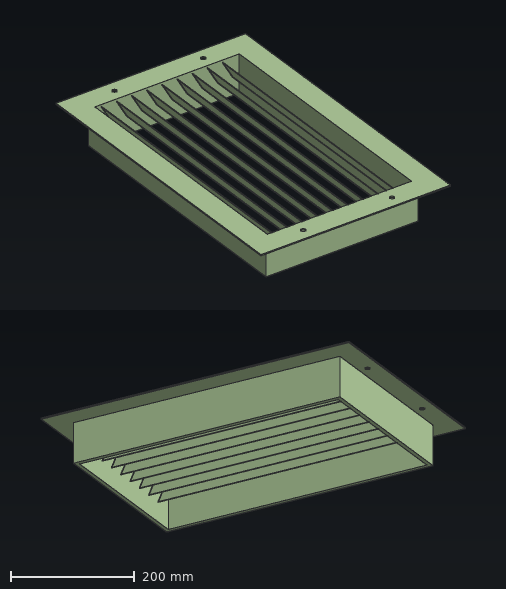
import cadquery as cq

flange_length = 575.0
flange_width = 375.0
flange_thickness = 2.5

total_height = 75.0
collar_length = 498.0
collar_width = 300.0
wall_thickness = 7.5
opening_length = collar_length - 2 * wall_thickness
opening_width = collar_width - 2 * wall_thickness

hole_diameter = 8.5
hole_spacing_x = 529.0
hole_spacing_y = 175.5

blade_count = 9
blade_pitch = 30.0
blade_width = 40.0
blade_thickness = 1.0
blade_tilt = 60.0
blade_center_height = 53.0
blade_end_embed = 1.0


def make_frame():
    """Flange and collar around one rectangular opening; the base is at Z = 0."""
    collar = cq.Workplane("XY").rect(collar_length, collar_width).extrude(total_height)
    flange = (
        cq.Workplane("XY")
        .workplane(offset=total_height - flange_thickness)
        .rect(flange_length, flange_width)
        .extrude(flange_thickness)
    )
    opening = cq.Workplane("XY").rect(opening_length, opening_width).extrude(total_height)
    return collar.union(flange).cut(opening)


def make_mounting_holes():
    """Four round cutters through the end strips of the flange."""
    return (
        cq.Workplane("XY")
        .rect(hole_spacing_x, hole_spacing_y, forConstruction=True)
        .vertices()
        .circle(hole_diameter / 2)
        .extrude(total_height)
    )


def make_blade(center_y):
    """One flat tilted blade, its ends sunk slightly into the collar walls."""
    return (
        cq.Workplane("XY")
        .box(opening_length + 2 * blade_end_embed, blade_width, blade_thickness)
        .rotate((0, 0, 0), (1, 0, 0), -blade_tilt)
        .translate((0, center_y, blade_center_height))
    )


result = make_frame().cut(make_mounting_holes())
for index in range(blade_count):
    blade_y = (index - (blade_count - 1) / 2) * blade_pitch
    result = result.union(make_blade(blade_y))